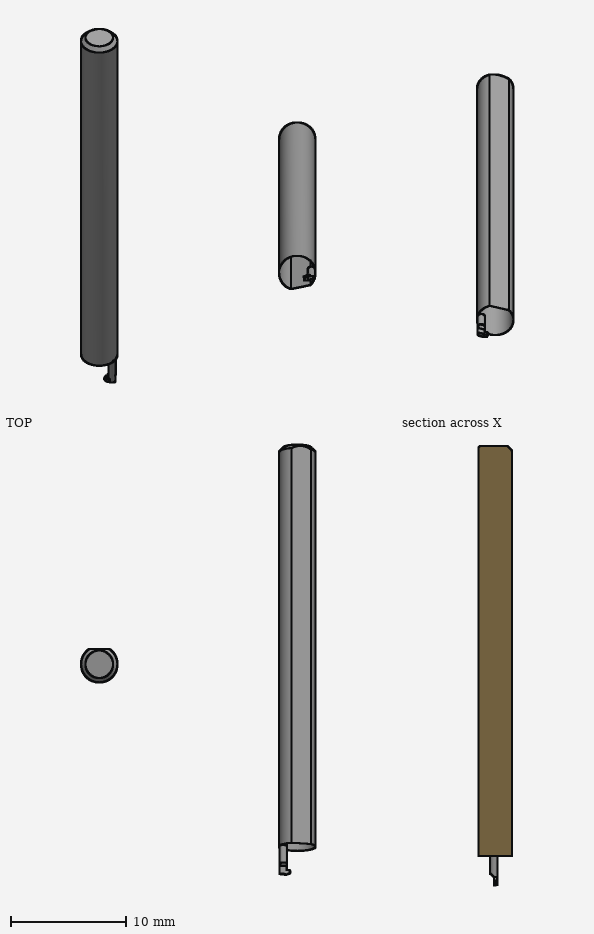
import cadquery as cq

total_length = 38.1
shank_diameter = 3.175
flat_to_back = 2.921

neck_length = 2.54
end_chamfer = 0.39
shank_radius = shank_diameter / 2
flat_y = flat_to_back - shank_radius

neck_radius = 0.33
neck_x = shank_radius - neck_radius
neck_bottom_z = 0.08
neck_overlap = 0.2

rake_y = 0.0
rake_height = 1.0
rake_runout = 0.25

head_reach = 0.98
head_tip_x = shank_radius - head_reach
head_top_z = 0.43
head_corner = 0.11
head_side_z = 0.09
head_low_x = 0.98
head_depth = neck_radius
clearance_angle = 7

root_top_z = 0.75
root_bottom_z = head_top_z - head_corner
root_depth = 0.26


def make_shank():
    shank = (
        cq.Workplane("XY")
        .workplane(offset=neck_length)
        .circle(shank_radius)
        .extrude(total_length - neck_length)
        .faces(">Z")
        .chamfer(end_chamfer)
    )
    flat_cutter = (
        cq.Workplane("XY")
        .box(shank_diameter, shank_diameter, total_length, centered=(True, False, False))
        .translate((0, flat_y, 0))
    )
    return shank.cut(flat_cutter)


def make_neck():
    neck = (
        cq.Workplane("XY")
        .workplane(offset=neck_bottom_z)
        .center(neck_x, 0)
        .circle(neck_radius)
        .extrude(neck_length + neck_overlap - neck_bottom_z)
    )
    rake_cutter = (
        cq.Workplane("YZ")
        .moveTo(rake_y, 0)
        .lineTo(rake_y, rake_height - rake_runout)
        .lineTo(rake_y + rake_runout, rake_height)
        .lineTo(shank_radius, rake_height)
        .lineTo(shank_radius, 0)
        .close()
        .extrude(shank_diameter)
    )
    return neck.cut(rake_cutter)


def make_head():
    return (
        cq.Workplane("XZ", origin=(0, rake_y, 0))
        .moveTo(neck_x, head_top_z)
        .lineTo(head_tip_x + head_corner, head_top_z)
        .lineTo(head_tip_x, head_top_z - head_corner)
        .lineTo(head_tip_x, head_side_z + head_corner)
        .lineTo(head_tip_x + head_corner, head_side_z)
        .lineTo(head_low_x, 0)
        .lineTo(neck_x, neck_bottom_z)
        .close()
        .extrude(head_depth, taper=clearance_angle)
    )


def make_root():
    return (
        cq.Workplane("XY")
        .box(neck_radius, root_depth, root_top_z - root_bottom_z, centered=False)
        .translate((neck_x - neck_radius, rake_y - root_depth, root_bottom_z))
    )


result = make_shank().union(make_neck()).union(make_head()).union(make_root())